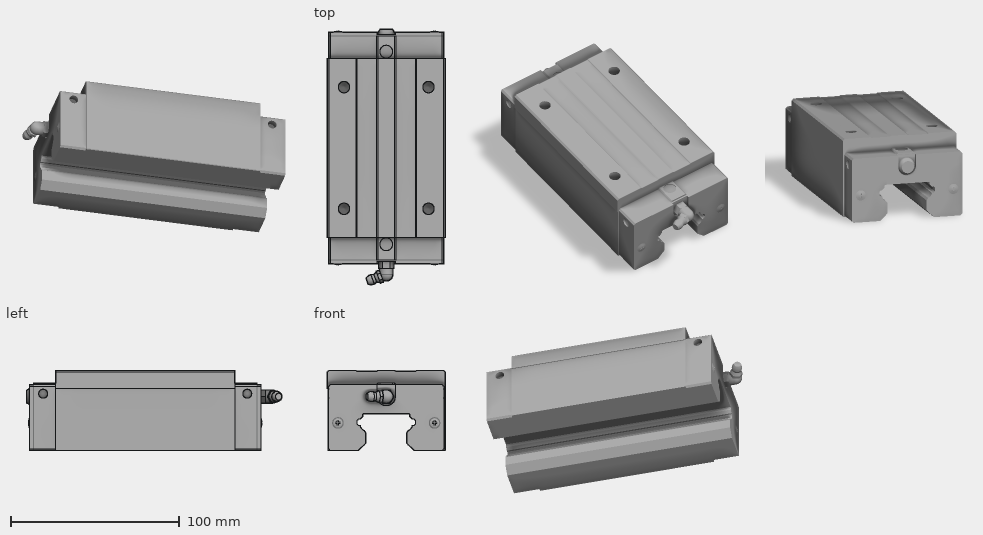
import cadquery as cq
import math


block_width = 70.0
block_length = 106.0
block_height = 47.5
block_top_chamfer = 1.1
block_bottom_chamfer = 0.4
side_relief_depth = 0.5
side_relief_height = 36.9

channel_depth = 0.45
channel_wall_width = 0.45
middle_wall_width = 0.9
channel_inner_x = 4.9
channel_outer_x = 17.9

mount_spacing_x = 50.0
mount_spacing_y = 72.0
mount_diameter = 6.8
mount_depth = 10.0
drill_point_angle = 118.0

slot_top_z = 21.8
slot_top_half = 13.4
slot_corner_chamfer = 0.5
slot_throat_half = 12.0
slot_throat_top_z = 10.5
slot_throat_bottom_z = 4.4
slot_mouth_half = 16.6
track_bottom = (13.0, 11.9)
track_middle = (14.5, 13.0)
track_top = (15.3, 14.9)
groove_half = 17.2
groove_top_z = 18.6
groove_chamfer = 0.8
groove_shoulder_half = 15.4

cap_width = 68.2
cap_height = 39.0
cap_chamfer = 1.1
caps_overall_length = 137.1
plate_thickness = 2.3

strip_height = 1.0
strip_top_width = 9.6
port_y = 57.0
port_diameter = 7.6
port_depth = 0.5

side_port_y = 60.4
side_port_z = 33.7
side_port_diameter = 5.3
side_port_depth = 4.0

fitting_z = 32.0
notch_width = 10.8
notch_depth = 1.5

screw_x = 28.6
screw_z = 16.4
screw_diameter = 6.2
screw_head_height = 0.7
recess_width = 0.9
recess_length = 2.7

hex_across_flats = 8.0
hex_end_y = -71.2
elbow_radius = hex_across_flats / 2
elbow_y = -74.8
arm_angle = 20.0
tip_distance, tip_radius = 12.1, 2.0
head_middle_distance, head_middle_radius = 10.6, 2.75
head_distance, head_radius = 8.6, 3.05
waist_distance, waist_radius = 6.9, 2.5
collar_front, collar_radius = 5.0, 3.5
collar_back = 3.0
collar_across_flats = 6.6

plug_base_radius = 5.2
plug_middle_radius = 4.75
plug_tip_radius = 3.7
plug_end_y = 70.3

block_half = block_length / 2
cap_end = caps_overall_length / 2
notch_floor_y = cap_end - notch_depth


def rail_slot():
    """Cutter with the rail opening, running the full length of the carriage."""
    neck_half = slot_top_half + slot_corner_chamfer
    neck_z = groove_top_z + groove_shoulder_half - neck_half
    groove_bottom_z = track_top[1]
    right_half = (
        cq.Workplane("XZ")
        .lineTo(slot_mouth_half, 0)
        .lineTo(slot_throat_half, slot_throat_bottom_z)
        .lineTo(slot_throat_half, slot_throat_top_z)
        .lineTo(*track_bottom)
        .threePointArc(track_middle, track_top)
        .lineTo(groove_half - groove_chamfer, groove_bottom_z)
        .lineTo(groove_half, groove_bottom_z + groove_chamfer)
        .lineTo(groove_half, groove_top_z - groove_chamfer)
        .lineTo(groove_half - groove_chamfer, groove_top_z)
        .lineTo(groove_shoulder_half, groove_top_z)
        .lineTo(neck_half, neck_z)
        .lineTo(neck_half, slot_top_z - slot_corner_chamfer)
        .lineTo(slot_top_half, slot_top_z)
        .lineTo(0, slot_top_z)
        .close()
        .extrude(cap_end, both=True)
    )
    return right_half.union(right_half.mirror("YZ"))


def top_channel(side):
    """Shallow channel with sloping sides in the block's top face."""
    floor_z = block_height - channel_depth
    profile = [
        (side * channel_inner_x, block_height),
        (side * (channel_inner_x + middle_wall_width), floor_z),
        (side * (channel_outer_x - channel_wall_width), floor_z),
        (side * channel_outer_x, block_height),
    ]
    return cq.Workplane("XZ").polyline(profile).close().extrude(block_half, both=True)


def mounting_hole():
    """Blind hole with a drill point, its mouth at the origin."""
    radius = mount_diameter / 2
    point = radius / math.tan(math.radians(drill_point_angle / 2))
    profile = [(0, 0), (radius, 0), (radius, -mount_depth), (0, -mount_depth - point)]
    return cq.Workplane("XZ").polyline(profile).close().revolve(360, (0, 0), (0, 1))


def steel_block():
    body = cq.Workplane("XY").box(block_width, block_length, block_height, centered=(True, True, False))
    body = body.edges("|Y and >Z").chamfer(block_top_chamfer)
    body = body.edges("|Y and <Z").chamfer(block_bottom_chamfer)
    for side in (-1, 1):
        body = body.cut(top_channel(side))
    relief = cq.Workplane("XY").box(
        2 * side_relief_depth, block_length, side_relief_height, centered=(True, True, False)
    )
    body = body.cut(relief.translate((-block_width / 2, 0, 0)))
    for x in (-mount_spacing_x / 2, mount_spacing_x / 2):
        for y in (-mount_spacing_y / 2, mount_spacing_y / 2):
            body = body.cut(mounting_hole().translate((x, y, block_height)))
    return body


def cap_layer(start_y, end_y):
    """Slab of the end cap outline between two Y positions."""
    return (
        cq.Workplane("XY")
        .box(cap_width, end_y - start_y, cap_height, centered=(True, False, False))
        .edges("|Y")
        .chamfer(cap_chamfer)
        .translate((0, start_y, 0))
    )


def screw_head():
    """Conical screw head on the +Y end face, with a cross recess that runs out on the cone."""
    radius = screw_diameter / 2
    profile = [(0, -plate_thickness / 2), (radius, -plate_thickness / 2), (radius, 0), (0, screw_head_height)]
    head = cq.Workplane("XY").polyline(profile).close().revolve(360, (0, 0), (0, 1))
    recess_depth = screw_head_height * recess_length / screw_diameter
    for length_x, length_z in ((recess_length, recess_width), (recess_width, recess_length)):
        slot = cq.Workplane("XY").box(length_x, 2 * recess_depth, length_z)
        head = head.cut(slot.translate((0, screw_head_height, 0)))
    return head.translate((0, cap_end, screw_z))


def end_cap():
    """End cap for the +Y end of the block."""
    plate_start = cap_end - plate_thickness
    cap = cap_layer(block_half, plate_start)

    strip_half = strip_top_width / 2
    strip_profile = [
        (-strip_half - strip_height, cap_height),
        (-strip_half, cap_height + strip_height),
        (strip_half, cap_height + strip_height),
        (strip_half + strip_height, cap_height),
    ]
    strip = cq.Workplane("XZ").polyline(strip_profile).close().extrude(block_half - plate_start)
    cap = cap.union(strip.translate((0, block_half, 0)))

    port = cq.Workplane("XY").circle(port_diameter / 2).extrude(-port_depth)
    cap = cap.cut(port.translate((0, port_y, cap_height + strip_height)))
    for side in (-1, 1):
        side_port = cq.Workplane("YZ").circle(side_port_diameter / 2).extrude(-side * side_port_depth)
        cap = cap.cut(side_port.translate((side * cap_width / 2, side_port_y, side_port_z)))

    cap = cap.union(cap_layer(plate_start, cap_end), clean=False)

    notch_radius = notch_width / 2
    notch = (
        cq.Workplane("XZ")
        .moveTo(-notch_radius, cap_height)
        .lineTo(-notch_radius, fitting_z)
        .threePointArc((0, fitting_z - notch_radius), (notch_radius, fitting_z))
        .lineTo(notch_radius, cap_height)
        .close()
        .extrude(-notch_depth)
    )
    cap = cap.cut(notch.translate((0, notch_floor_y, 0)), clean=False)

    for x in (-screw_x, screw_x):
        head = screw_head().translate((x, 0, 0))
        cap = cap.union(head, clean=False)
    return cap


def across_corners(across_flats):
    return across_flats / math.cos(math.radians(30))


def grease_nipple():
    hexagon = (
        cq.Workplane("XZ")
        .polygon(6, across_corners(hex_across_flats))
        .extrude(-notch_floor_y - hex_end_y)
        .translate((0, -notch_floor_y, 0))
    )
    elbow = cq.Workplane("XZ").circle(elbow_radius).extrude(hex_end_y - elbow_y).translate((0, hex_end_y, 0))
    ball = cq.Workplane("XY").sphere(elbow_radius).translate((0, elbow_y, 0))

    arm = (
        cq.Workplane("XY")
        .lineTo(0, waist_radius)
        .lineTo(-collar_front, waist_radius)
        .lineTo(-collar_front, collar_radius)
        .lineTo(-waist_distance, waist_radius)
        .lineTo(-head_distance, head_radius)
        .threePointArc((-head_middle_distance, head_middle_radius), (-tip_distance, tip_radius))
        .lineTo(-tip_distance, 0)
        .close()
        .revolve(360, (0, 0), (1, 0))
    )
    collar = (
        cq.Workplane("YZ")
        .polygon(6, across_corners(collar_across_flats))
        .extrude(collar_front - collar_back)
        .translate((-collar_front, 0, 0))
    )
    arm = arm.union(collar).rotate((0, 0, 0), (0, 0, 1), arm_angle).translate((0, elbow_y, 0))
    return hexagon.union(elbow).union(ball).union(arm).translate((0, 0, fitting_z))


def plug():
    """Domed plug in the notch of the +Y end plate."""
    return (
        cq.Workplane("XY")
        .moveTo(0, notch_floor_y)
        .lineTo(plug_base_radius, notch_floor_y)
        .threePointArc((plug_middle_radius, cap_end), (plug_tip_radius, plug_end_y))
        .lineTo(0, plug_end_y)
        .close()
        .revolve(360, (0, 0), (0, 1))
        .translate((0, 0, fitting_z))
    )


far_cap = end_cap()
near_cap = far_cap.mirror("XZ")
result = steel_block().union(far_cap, clean=False).union(near_cap, clean=False)
result = result.cut(rail_slot(), clean=False)
result = result.union(grease_nipple(), clean=False).union(plug(), clean=False)